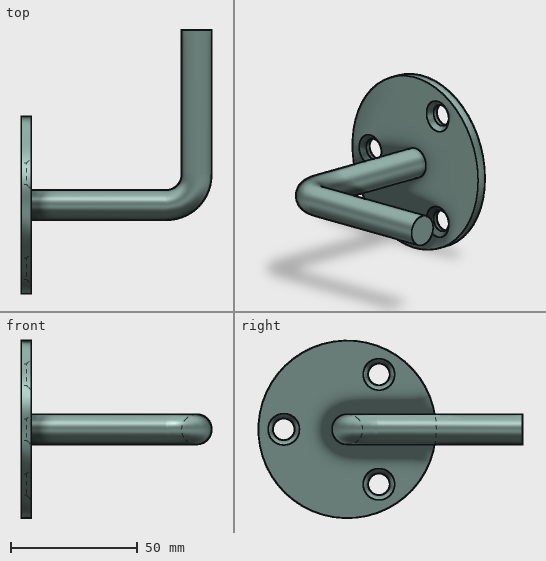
import cadquery as cq

total_length = 104.0
total_depth = 75.0
disc_diameter = 70.0
disc_thickness = 4.0
rod_diameter = 12.0
bend_radius = 12.0
hole_diameter = 8.4
hole_circle_radius = 25.0
hole_count = 3
straight_depth = 2.0

rod_end_y = total_length - disc_diameter / 2
arm_x = total_depth - rod_diameter / 2
bend_start_x = arm_x - bend_radius
countersink_depth = disc_thickness - straight_depth
countersink_diameter = hole_diameter + 2 * countersink_depth


def countersunk_hole():
    """Cutter on the X axis: a straight bore followed by a cone widening towards +X."""
    bore = cq.Workplane("YZ").circle(hole_diameter / 2).extrude(disc_thickness)
    countersink = (
        cq.Workplane("YZ", origin=(straight_depth, 0, 0))
        .circle(hole_diameter / 2)
        .workplane(offset=countersink_depth)
        .circle(countersink_diameter / 2)
        .loft()
    )
    return bore.union(countersink)


def mounting_disc():
    """Round plate with a ring of countersunk holes, the first one towards -Y."""
    disc = cq.Workplane("YZ").circle(disc_diameter / 2).extrude(disc_thickness)
    first_hole = countersunk_hole().translate((0, -hole_circle_radius, 0))
    for index in range(hole_count):
        angle = index * 360 / hole_count
        disc = disc.cut(first_hole.rotate((0, 0, 0), (1, 0, 0), angle))
    return disc


def bent_rod():
    """Round rod leaving the disc along +X and bending a quarter turn to +Y."""
    centreline = (
        cq.Workplane("XY")
        .moveTo(disc_thickness, 0)
        .lineTo(bend_start_x, 0)
        .tangentArcPoint((arm_x, bend_radius), relative=False)
        .lineTo(arm_x, rod_end_y)
    )
    section = cq.Workplane("YZ", origin=(disc_thickness, 0, 0)).circle(rod_diameter / 2)
    return section.sweep(centreline)


result = mounting_disc().union(bent_rod())